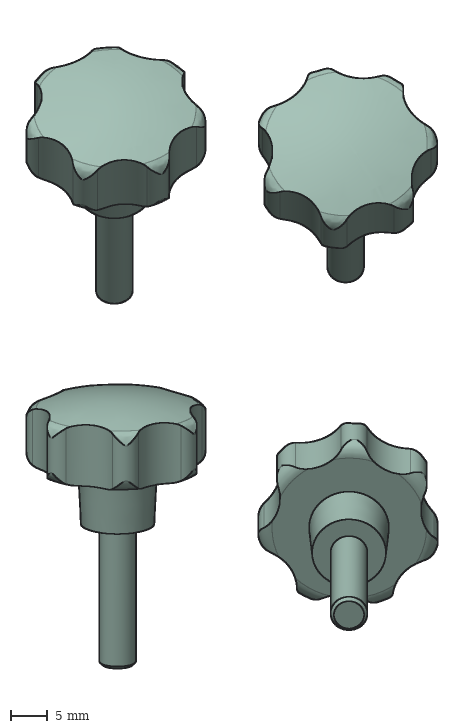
import cadquery as cq
import math

TOTAL_HEIGHT = 38.0
HEAD_BOTTOM = 28.0
HUB_BOTTOM = 20.0

STUD_RADIUS = 2.5
STUD_CHAMFER = 0.45
HUB_BOTTOM_RADIUS = 5.0
HUB_TOP_RADIUS = 5.45

LOBE_COUNT = 7
HEAD_RADIUS = 12.5
LOBE_RADIUS = 2.0
VALLEY_RADIUS = 10.0
FIRST_LOBE_ANGLE = -90.0
EDGE_FILLET = 2.0
DISC_OVERSIZE = 0.01
DISC_RADIUS = HEAD_RADIUS + DISC_OVERSIZE
DOME_RADIUS = 39.9


def polar(radius, angle):
    """Point at a radius and an angle in degrees from the X axis."""
    turn = math.radians(angle)
    return radius * math.cos(turn), radius * math.sin(turn)


def star_outline():
    """Closed outline of rounded lobes joined tangentially by concave arcs."""
    pitch = 360 / LOBE_COUNT
    half_pitch = math.radians(pitch / 2)
    lobe_center = HEAD_RADIUS - LOBE_RADIUS
    inset = VALLEY_RADIUS - LOBE_RADIUS
    valley_center = (lobe_center**2 - inset**2) / (2 * (lobe_center * math.cos(half_pitch) - inset))
    valley_arc_radius = valley_center - VALLEY_RADIUS

    share = LOBE_RADIUS / (LOBE_RADIUS + valley_arc_radius)
    valley_x = valley_center * math.cos(half_pitch)
    valley_y = valley_center * math.sin(half_pitch)
    tangent_x = lobe_center + share * (valley_x - lobe_center)
    tangent_y = share * valley_y
    tangent_radius = math.hypot(tangent_x, tangent_y)
    tangent_angle = math.degrees(math.atan2(tangent_y, tangent_x))

    outline = cq.Workplane("XY").moveTo(*polar(tangent_radius, FIRST_LOBE_ANGLE - tangent_angle))
    for i in range(LOBE_COUNT):
        lobe_angle = FIRST_LOBE_ANGLE + i * pitch
        outline = outline.threePointArc(
            polar(HEAD_RADIUS, lobe_angle),
            polar(tangent_radius, lobe_angle + tangent_angle),
        )
        outline = outline.threePointArc(
            polar(VALLEY_RADIUS, lobe_angle + pitch / 2),
            polar(tangent_radius, lobe_angle + pitch - tangent_angle),
        )
    return outline.close()


def head_blank():
    """Round domed disc with its upper and lower rims rounded."""
    dome_center = TOTAL_HEIGHT - DOME_RADIUS
    rim_height = dome_center + math.sqrt(DOME_RADIUS**2 - DISC_RADIUS**2)
    dome_mid = DISC_RADIUS / 2
    dome_mid_height = dome_center + math.sqrt(DOME_RADIUS**2 - dome_mid**2)
    return (
        cq.Workplane("XZ")
        .moveTo(0, HEAD_BOTTOM)
        .lineTo(DISC_RADIUS, HEAD_BOTTOM)
        .lineTo(DISC_RADIUS, rim_height)
        .threePointArc((dome_mid, dome_mid_height), (0, TOTAL_HEIGHT))
        .close()
        .revolve(360, (0, 0), (0, 1))
        .edges("%CIRCLE")
        .fillet(EDGE_FILLET)
    )


def head():
    """Domed disc trimmed to the star outline."""
    star = star_outline().extrude(TOTAL_HEIGHT - HEAD_BOTTOM).translate((0, 0, HEAD_BOTTOM))
    return head_blank().intersect(star)


def stem():
    """Tapered hub and chamfered stud."""
    return (
        cq.Workplane("XZ")
        .moveTo(0, 0)
        .lineTo(STUD_RADIUS - STUD_CHAMFER, 0)
        .lineTo(STUD_RADIUS, STUD_CHAMFER)
        .lineTo(STUD_RADIUS, HUB_BOTTOM)
        .lineTo(HUB_BOTTOM_RADIUS, HUB_BOTTOM)
        .lineTo(HUB_TOP_RADIUS, HEAD_BOTTOM)
        .lineTo(0, HEAD_BOTTOM)
        .close()
        .revolve(360, (0, 0), (0, 1))
    )


result = head().union(stem())